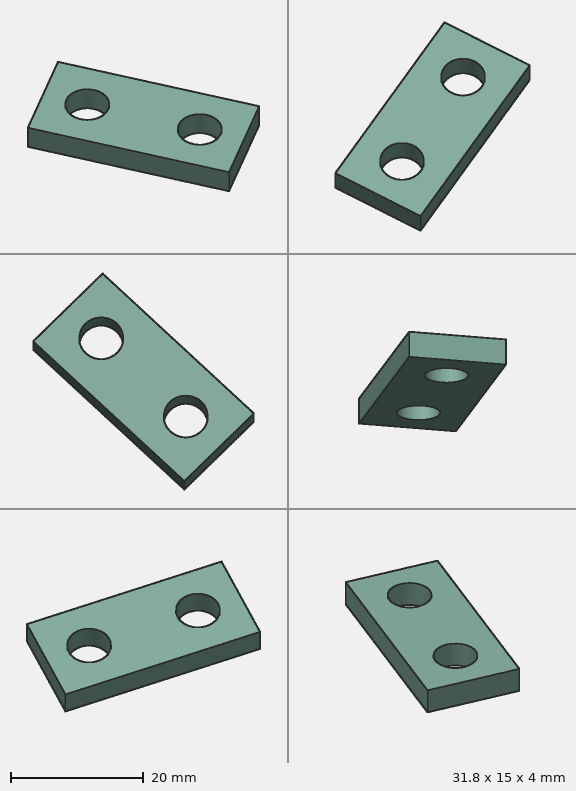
import cadquery as cq

length = 31.8
width = 15.0
thickness = 4.0
hole_diameter = 6.6
hole_spacing = 17.78

plate = cq.Workplane("XY").box(length, width, thickness)

result = (
    plate.faces(">Z")
    .workplane()
    .pushPoints([(side * hole_spacing / 2, 0) for side in (-1, 1)])
    .hole(hole_diameter)
)